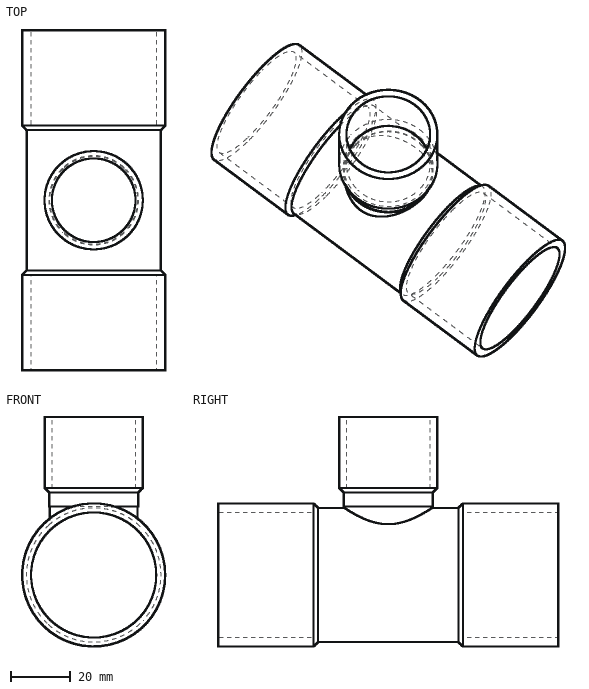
import cadquery as cq

run_length = 114.0
run_socket_diameter = 48.0
run_bore_diameter = 42.0
run_body_diameter = 45.0
run_socket_length = 32.0

overall_height = 77.0
branch_top = overall_height - run_socket_diameter / 2
branch_socket_diameter = 33.0
branch_bore_diameter = 28.0
branch_neck_diameter = 30.0
branch_root_diameter = 29.5
branch_socket_length = 23.8
branch_neck_bottom = 22.9


def cylinder_z(diameter, bottom, top):
    return cq.Workplane("XY").workplane(offset=bottom).circle(diameter / 2).extrude(top - bottom)


def socket(outer_diameter, neck_diameter, length):
    """Solid socket with its mouth at Z = 0 and a 45 degree shoulder at its lower end."""
    shoulder = (outer_diameter - neck_diameter) / 2
    return (
        cylinder_z(outer_diameter, -length - shoulder, 0)
        .faces("<Z")
        .chamfer(shoulder)
    )


def run_end(shape, side):
    """Move a shape from the Z axis to the +Y (side = 1) or -Y (side = -1) end of the run."""
    return shape.rotate((0, 0, 0), (1, 0, 0), -90 * side).translate((0, side * run_length / 2, 0))


body = cq.Workplane("XZ").circle(run_body_diameter / 2).extrude(run_length / 2, both=True)
body = body.union(cylinder_z(branch_root_diameter, 0, branch_neck_bottom))
body = body.union(cylinder_z(branch_neck_diameter, branch_neck_bottom, branch_top))

run_socket = socket(run_socket_diameter, run_body_diameter, run_socket_length)
branch_socket = socket(branch_socket_diameter, branch_neck_diameter, branch_socket_length)
body = body.union(branch_socket.translate((0, 0, branch_top)))
for side in (1, -1):
    body = body.union(run_end(run_socket, side))

run_bore = cylinder_z(run_bore_diameter, -run_socket_length, 0)
for side in (1, -1):
    body = body.cut(run_end(run_bore, side))
body = body.cut(cylinder_z(branch_bore_diameter, branch_top - branch_socket_length, branch_top))

result = body